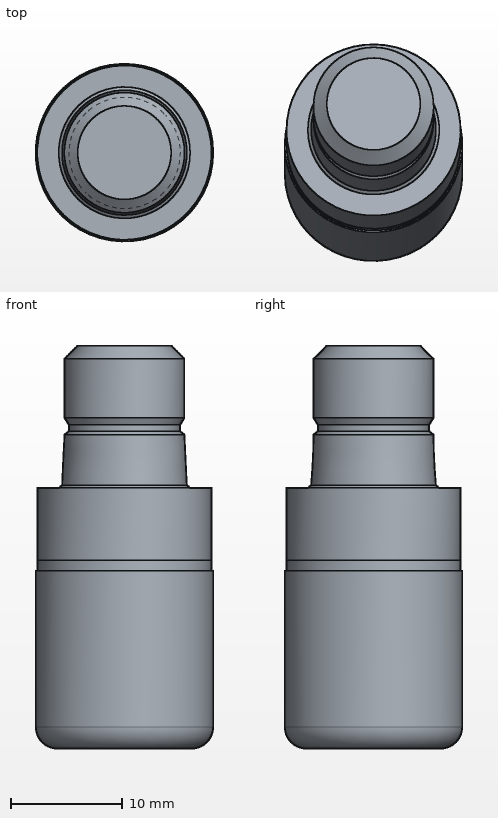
import cadquery as cq

total_height = 36.3
cap_radius = 8.005

cap_shoulder_z = 16.05
joint_z = 17.0
bottom_round = 2.0

collar_radius = 7.85
collar_top_z = 23.5
flare_radius = 5.9
flare_top_z = 23.75
shank_bottom_radius = 5.63
shank_top_radius = 5.4
shank_top_z = 28.28
groove_radius = 5.0
groove_floor_bottom_z = 28.6
groove_floor_top_z = 29.15
groove_top_z = 29.8
head_radius = 5.4
head_chamfer = 1.2


def make_cap():
    """Solid cylinder with a rounded bottom rim and a neck flush with the collar."""
    barrel = cq.Workplane("XY").circle(cap_radius).extrude(cap_shoulder_z)
    barrel = barrel.faces("<Z").edges().fillet(bottom_round)
    neck = (
        cq.Workplane("XY", origin=(0, 0, cap_shoulder_z))
        .circle(collar_radius)
        .extrude(joint_z - cap_shoulder_z)
    )
    return barrel.union(neck)


def make_stud():
    """Half profile (radius, height) revolved about Z."""
    profile = (
        cq.Workplane("XZ")
        .moveTo(0, joint_z)
        .lineTo(collar_radius, joint_z)
        .lineTo(collar_radius, collar_top_z)
        .lineTo(flare_radius, collar_top_z)
        .lineTo(shank_bottom_radius, flare_top_z)
        .lineTo(shank_top_radius, shank_top_z)
        .lineTo(groove_radius, groove_floor_bottom_z)
        .lineTo(groove_radius, groove_floor_top_z)
        .lineTo(head_radius, groove_top_z)
        .lineTo(head_radius, total_height - head_chamfer)
        .lineTo(head_radius - head_chamfer, total_height)
        .lineTo(0, total_height)
        .close()
    )
    return profile.revolve(360, (0, 0, 0), (0, 1, 0))


cap = make_cap()
stud = make_stud()

result = cq.Compound.makeCompound([cap.val(), stud.val()])